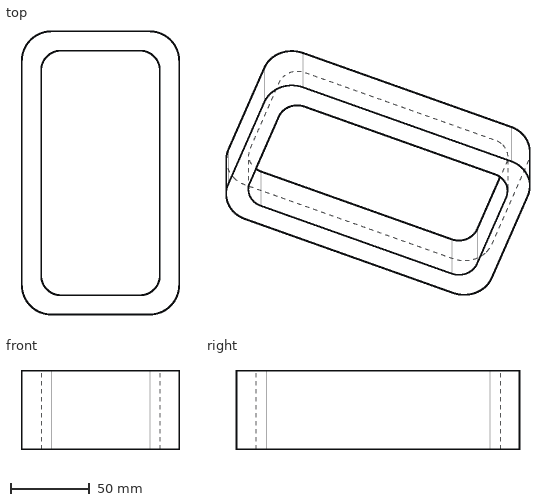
import cadquery as cq

length = 180.0
width = 100.0
height = 50.0
wall = 12.5

outer_radius = 18.9
inner_radius = 12.5


def rounded_block(size_x, size_y, corner_radius):
    """Block of the ring's height with rounded vertical edges."""
    block = cq.Workplane("XY").box(size_x, size_y, height)
    return block.edges("|Z").fillet(corner_radius)


outer_body = rounded_block(width, length, outer_radius)
opening = rounded_block(width - 2 * wall, length - 2 * wall, inner_radius)

result = outer_body.cut(opening)